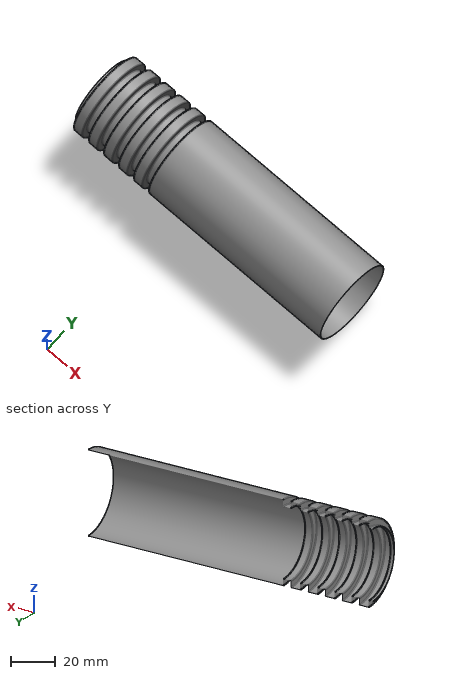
import cadquery as cq

length = 150.0
outer_diameter = 42.5
wall = 0.4
neck_bore_diameter = 35.0

ring_count = 5
ring_pitch = 9.0
ring_width = 5.4
first_ring_start = 1.8
inner_bend_radius = 0.2
outer_bend_radius = 0.4

outer_radius = outer_diameter / 2
tube_bore_radius = outer_radius - wall
neck_bore_radius = neck_bore_diameter / 2
neck_radius = neck_bore_radius + wall
tube_start = first_ring_start + ring_count * ring_pitch

tolerance = 0.002


def cylinder(start, end, radius):
    """Solid cylinder on the X axis between two positions."""
    return cq.Workplane("YZ").workplane(offset=start).circle(radius).extrude(end - start)


def ring_starts():
    return [first_ring_start + index * ring_pitch for index in range(ring_count)]


def fillet_circles(body, circle_radius, fillet_radius):
    """Round the circular edges of one radius, except those on the end faces."""
    edges = [
        edge
        for edge in body.edges("%CIRCLE").vals()
        if abs(edge.radius() - circle_radius) < tolerance and tolerance < edge.Center().x < length - tolerance
    ]
    return body.newObject(edges).fillet(fillet_radius)


def make_outside():
    """Neck, rounded rings and main tube, before hollowing."""
    body = cylinder(0, tube_start + wall, neck_radius)
    for start in ring_starts():
        ring = cylinder(start, start + ring_width, outer_radius)
        body = body.union(ring.edges().fillet(outer_bend_radius))
    tube = cylinder(tube_start, length, outer_radius).edges("<X").fillet(outer_bend_radius)
    return fillet_circles(body.union(tube), neck_radius, inner_bend_radius)


def make_cavity():
    """Bore that follows the corrugations one wall thickness inside them."""
    cavity = cylinder(0, length, neck_bore_radius)
    for start in ring_starts():
        pocket = cylinder(start + wall, start + ring_width - wall, tube_bore_radius)
        cavity = cavity.union(pocket.edges().fillet(inner_bend_radius))
    tube_bore = cylinder(tube_start + wall, length, tube_bore_radius).edges("<X").fillet(inner_bend_radius)
    cavity = cavity.union(tube_bore)
    return fillet_circles(cavity, neck_bore_radius, outer_bend_radius)


result = make_outside().cut(make_cavity())